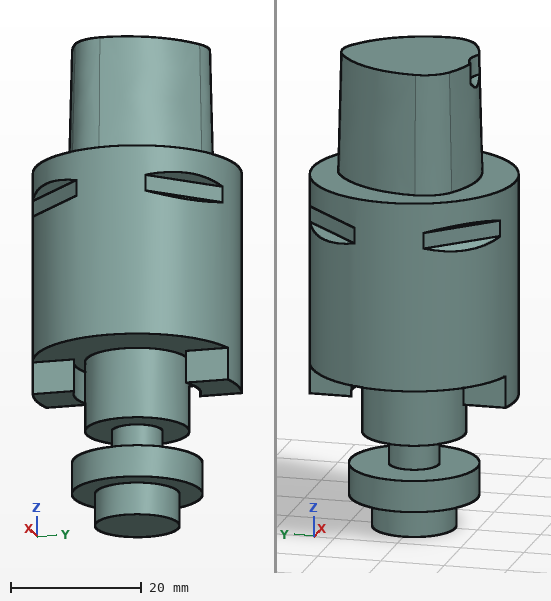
import cadquery as cq
import math

total_height = 75.0
shank_base_z = 55.95
body_bottom_z = 26.0
key_bottom_z = 21.0
pilot_bottom_z = 15.0
flange_top_z = 10.0
flange_bottom_z = 5.0

body_diameter = 32.0
pilot_diameter = 16.0
neck_diameter = 7.8
flange_diameter = 20.0
end_diameter = 13.0

key_width = 8.0
key_inner_diameter = 19.5

groove_z = 50.0
groove_depth = 1.5
groove_floor_width = 2.5
groove_flank_angle = 30.0
groove_count = 4

lobe_center_radius = 6.0
lobe_radius = 5.85
shank_taper = 1 / 40

notch_radius = 4.8
notch_wall_y = -8.85
notch_wall_bottom_z = 71.85
notch_cone_angle = 50.0


def polar(radius, angle, center=(0, 0)):
    """Point at an angle in degrees around a center."""
    a = math.radians(angle)
    return (center[0] + radius * math.cos(a), center[1] + radius * math.sin(a))


def cylinder(diameter, bottom_z, top_z):
    return cq.Workplane("XY").workplane(offset=bottom_z).circle(diameter / 2).extrude(top_z - bottom_z)


def make_shank():
    flank_radius = lobe_radius + math.sqrt(3) * lobe_center_radius
    outline = cq.Workplane("XY").workplane(offset=shank_base_z)
    outline = outline.moveTo(*polar(lobe_radius, 60, polar(lobe_center_radius, 90)))
    for lobe_angle in (90, 210, 330):
        lobe_center = polar(lobe_center_radius, lobe_angle)
        flank_center = polar(lobe_center_radius, lobe_angle + 240)
        outline = outline.threePointArc(
            polar(lobe_radius, lobe_angle, lobe_center),
            polar(lobe_radius, lobe_angle + 30, lobe_center),
        )
        outline = outline.threePointArc(
            polar(flank_radius, lobe_angle + 60, flank_center),
            polar(flank_radius, lobe_angle + 90, flank_center),
        )
    taper_angle = math.degrees(math.atan(shank_taper))
    return outline.close().extrude(total_height - shank_base_z, taper=taper_angle)


def make_notch_cutter():
    cone_height = notch_radius * math.tan(math.radians(notch_cone_angle))
    half_section = (
        cq.Workplane("XZ")
        .moveTo(0, notch_wall_bottom_z - cone_height)
        .lineTo(notch_radius, notch_wall_bottom_z)
        .lineTo(notch_radius, total_height)
        .lineTo(0, total_height)
        .close()
    )
    cutter = half_section.revolve(360, (0, 0, 0), (0, 1, 0))
    return cutter.translate((0, notch_wall_y - notch_radius, 0))


def make_keys():
    key_height = body_bottom_z - key_bottom_z
    bar = (
        cq.Workplane("XY")
        .workplane(offset=key_bottom_z)
        .rect(key_width, body_diameter)
        .extrude(key_height)
    )
    outer = cylinder(body_diameter, key_bottom_z, body_bottom_z)
    inner = cylinder(key_inner_diameter, key_bottom_z, body_bottom_z)
    return bar.intersect(outer).cut(inner)


def make_groove_cutter():
    outer_x = body_diameter / 2
    floor_x = outer_x - groove_depth
    floor_half = groove_floor_width / 2
    mouth_half = floor_half + groove_depth * math.tan(math.radians(groove_flank_angle))
    return (
        cq.Workplane("XZ")
        .moveTo(floor_x, groove_z - floor_half)
        .lineTo(outer_x, groove_z - mouth_half)
        .lineTo(outer_x, groove_z + mouth_half)
        .lineTo(floor_x, groove_z + floor_half)
        .close()
        .extrude(body_diameter / 2, both=True)
    )


body = cylinder(body_diameter, body_bottom_z, shank_base_z)
pilot = cylinder(pilot_diameter, pilot_bottom_z, body_bottom_z)
neck = cylinder(neck_diameter, flange_top_z, pilot_bottom_z)
flange = cylinder(flange_diameter, flange_bottom_z, flange_top_z)
end = cylinder(end_diameter, 0, flange_bottom_z)

groove_step = 360 / groove_count
for index in range(groove_count):
    groove_angle = groove_step * (index + 0.5)
    body = body.cut(make_groove_cutter().rotate((0, 0, 0), (0, 0, 1), groove_angle))

shank = make_shank().cut(make_notch_cutter())

result = body.union(shank).union(make_keys()).union(pilot).union(neck).union(flange).union(end)